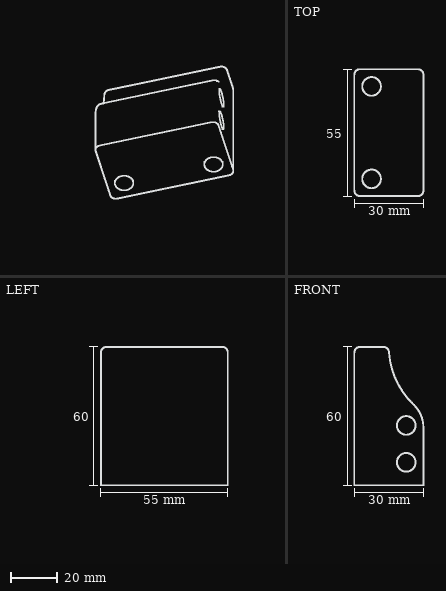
import cadquery as cq
import math

base_depth = 30.0
width = 55.0
height = 60.0
top_depth = base_depth / 2

shoulder_start_height = 25.0
shoulder_radius = 13.8

edge_radius = 2.5

hole_diameter = 8.0
top_hole_inset = 7.5
cross_hole_x = 22.5
cross_hole_heights = (10.0, 26.0)


def arc_point(center, radius, angle):
    return (center[0] + radius * math.cos(angle), center[1] + radius * math.sin(angle))


def side_profile():
    """Closed outline in the XZ plane."""
    rise = height - shoulder_start_height
    run = base_depth - top_depth
    radius_sum = (rise**2 + run**2) / (2 * run)
    sweep_radius = radius_sum - shoulder_radius
    turn = math.asin(rise / radius_sum)

    shoulder_center = (base_depth - shoulder_radius, shoulder_start_height)
    sweep_center = (top_depth + sweep_radius, height)
    shoulder_middle = arc_point(shoulder_center, shoulder_radius, turn / 2)
    junction = arc_point(shoulder_center, shoulder_radius, turn)
    sweep_middle = arc_point(sweep_center, sweep_radius, math.pi + turn / 2)

    return (
        cq.Workplane("XZ")
        .lineTo(base_depth, 0)
        .lineTo(base_depth, shoulder_start_height)
        .threePointArc(shoulder_middle, junction)
        .threePointArc(sweep_middle, (top_depth, height))
        .lineTo(0, height)
        .close()
    )


def rounded_body():
    """Extruded profile centred on Y, rounded on every outer edge except around the flat bottom."""
    body = side_profile().extrude(width / 2, both=True)
    return body.faces("|Y or >Z").edges("not <Z").fillet(edge_radius)


def vertical_holes():
    """Two holes through the full height, one near each end."""
    hole_y = width / 2 - top_hole_inset
    return (
        cq.Workplane("XY")
        .pushPoints([(top_hole_inset, -hole_y), (top_hole_inset, hole_y)])
        .circle(hole_diameter / 2)
        .extrude(height)
    )


def cross_holes():
    """Two holes through the full width, one above the other below the shoulder."""
    return (
        cq.Workplane("XZ")
        .pushPoints([(cross_hole_x, z) for z in cross_hole_heights])
        .circle(hole_diameter / 2)
        .extrude(width / 2, both=True)
    )


result = rounded_body().cut(vertical_holes()).cut(cross_holes())